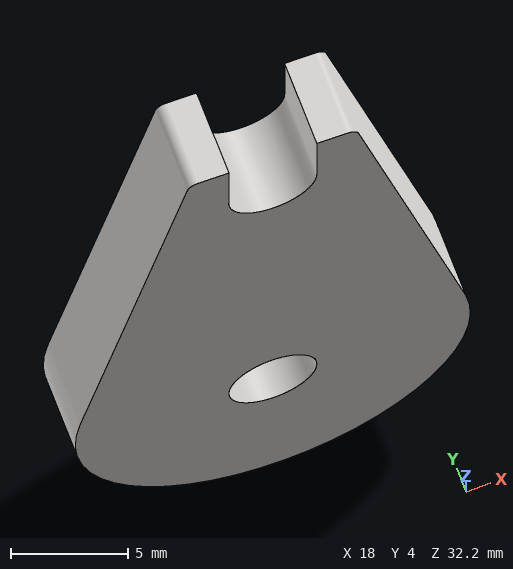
import cadquery as cq
import math

height = 32.22
thickness = 4.0
round_radius = 9.0
hole_diameter = 4.0
slot_width = 4.0
slot_depth = 5.25
tip_half_width = 3.8
tip_fillet = 0.5

tip_z = height - round_radius

corner_distance = math.hypot(tip_half_width, tip_z)
corner_angle = math.atan2(tip_z, tip_half_width)
tangent_angle = corner_angle - math.acos(round_radius / corner_distance)
tangent_x = round_radius * math.cos(tangent_angle)
tangent_z = round_radius * math.sin(tangent_angle)


def make_body():
    """Teardrop plate centred on its thickness, with rounded tip corners."""
    plate = (
        cq.Workplane("XZ")
        .moveTo(-tip_half_width, tip_z)
        .lineTo(tip_half_width, tip_z)
        .lineTo(tangent_x, tangent_z)
        .threePointArc((0, -round_radius), (-tangent_x, tangent_z))
        .close()
        .extrude(thickness / 2, both=True)
    )
    return plate.faces(">Z").edges("|Y").fillet(tip_fillet)


def make_hole():
    """Pivot hole through the plate, concentric with the round end."""
    return cq.Workplane("XZ").circle(hole_diameter / 2).extrude(thickness, both=True)


def make_slot():
    """Open slot in the tip, ending in a full half-round."""
    half_width = slot_width / 2
    slot_bottom = tip_z - slot_depth
    arc_z = slot_bottom + half_width
    return (
        cq.Workplane("XZ")
        .moveTo(-half_width, tip_z)
        .lineTo(-half_width, arc_z)
        .threePointArc((0, slot_bottom), (half_width, arc_z))
        .lineTo(half_width, tip_z)
        .close()
        .extrude(thickness, both=True)
    )


result = make_body().cut(make_hole()).cut(make_slot())